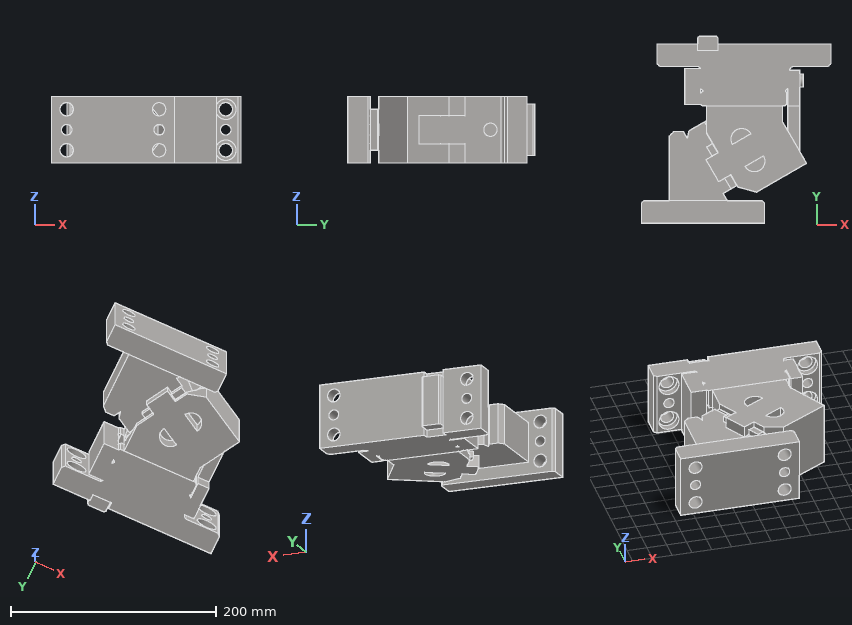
import cadquery as cq
import math


full_height = 65.0
half_height = full_height / 2
plate_thickness = 22.2

hole_inset = 15.0
screw_spacing = 40.0
screw_hole_dia = 13.0
dowel_hole_dia = 10.2

slide_angle = -60.0
heel_x = 92.7
heel_y = 36.5
slide_cos = math.cos(math.radians(slide_angle))
slide_sin = math.sin(math.radians(slide_angle))

ridge_tip_n = 13.1
ridge_tip_half = 4.8
flank_slope = math.tan(math.radians(30))
post_half = 20.2
ear_half = 26.3
ear_under_n = -6.1

driver_length = 120.0
driver_plate_chamfer = 2.4
post_left_x = 27.0
post_top_y = 89.7
post_chamfer = 4.8
vee_left_x = 40.9
vee_tip_x = 44.8
vee_tip_y = 83.0
post_end_u = -69.7
vee_right_n = -13.3
ear_start_u = -47.4
foot_n = -14.8

neck_left_x = 63.3
neck_right_x = 137.8
slider_end_u = 15.2
slider_heel_n = 13.9
slider_back_n = 70.3
cheek_n = 0.4
lower_cheek_n = -1.0
cheek_end_u = 1.5
hook_start_u = -37.0
hook_end_u = -12.2
hook_front_n = -13.0
hook_lip_half = 20.9
relief_center_n = 27.2
relief_radius = 10.4
relief_depth = 18.5

holder_plate_left = 15.0
holder_plate_right = 185.0
holder_plate_top = 175.0
holder_plate_chamfer = 3.0
holder_plate_bottom = holder_plate_top - plate_thickness
holder_bottom = 114.5
counterbore_dia = 20.0
counterbore_depth = 7.0
block_left_x = 42.2
block_top_y = 151.0
block_bottom_y = 115.8
core_left_x = 57.7
core_right_x = 141.9
core_chamfer = 1.8
left_notch_start_x = 55.9
left_notch_radius = 3.0
right_notch_start_x = 144.7
right_notch_end_x = 148.4
right_notch_radius = 4.0
strip_left_x = 142.6
strip_right_x = 154.7
strip_top_y = 149.3
relief_vee_y = 129.1
relief_vee_size = 2.0
tab_half = 13.9
pocket_half = 17.8
pocket_depth = 5.5
pocket_top_y = 152.0
slot_half = 15.0
slot_inner_half = 12.5
slot_step_x = 60.0
slot_end_x = 73.0
slot_depth = 15.7
key_left_x = 54.8
key_width = 20.0
key_depth = 14.0
key_projection = 7.4
key_height = 50.3
key_chamfer = 1.7
bolt_y = 139.1
bolt_radius = 6.5
bolt_head_projection = 3.3


def slide_point(u, n):
    """Turns slide coordinates, measured from the heel, into (x, y)."""
    return heel_x + u * slide_cos - n * slide_sin, heel_y + u * slide_sin + n * slide_cos


def y_on_slide_line(x, n):
    """Y at which the line of constant n passes through x."""
    line_x, line_y = slide_point(0, n)
    return line_y + (x - line_x) * slide_sin / slide_cos


def x_on_slide_line(y, n):
    """X at which the line of constant n passes through y."""
    line_x, line_y = slide_point(0, n)
    return line_x + (y - line_y) * slide_cos / slide_sin


def flank_n(z):
    """n of the V flank at height z."""
    return ridge_tip_n - (z - ridge_tip_half) * flank_slope


def extrude_plan(points, bottom, top):
    """Prism over a closed XY outline between two heights."""
    return cq.Workplane("XY", origin=(0, 0, bottom)).polyline(points).close().extrude(top - bottom)


def slide_block(u_start, u_end, n_start, n_end, bottom, top):
    """Block aligned with the slide direction."""
    corners = [(u_start, n_start), (u_end, n_start), (u_end, n_end), (u_start, n_end)]
    return extrude_plan([slide_point(u, n) for u, n in corners], bottom, top)


def vee_prism(u_start, u_end, half_width, root_n):
    """V ridge of the given half width, with its straight sides going down to root_n."""
    start_x, start_y = slide_point(u_start, 0)
    section = cq.Plane(origin=(start_x, start_y, 0), xDir=(-slide_sin, slide_cos, 0),
                       normal=(slide_cos, slide_sin, 0))
    shoulder_n = flank_n(half_width)
    outline = [
        (root_n, -half_width),
        (shoulder_n, -half_width),
        (ridge_tip_n, -ridge_tip_half),
        (ridge_tip_n, ridge_tip_half),
        (shoulder_n, half_width),
        (root_n, half_width),
    ]
    return cq.Workplane(section).polyline(outline).close().extrude(u_end - u_start)


def box_between(x_range, y_range, half):
    """Box over x and y ranges, centred on Z = 0."""
    (left, right), (front, back) = x_range, y_range
    return extrude_plan([(left, front), (right, front), (right, back), (left, back)], -half, half)


def plate_holes(x_positions, y, depth, screw_dia, dowel_dia=None):
    """Cylinders along +Y from y: two screw holes and an optional dowel hole at each x."""
    drill = cq.Workplane("XZ", origin=(0, y, 0))
    screw_points = [(x, side * screw_spacing / 2) for x in x_positions for side in (-1, 1)]
    holes = drill.pushPoints(screw_points).circle(screw_dia / 2).extrude(-depth)
    if dowel_dia:
        dowel_points = [(x, 0) for x in x_positions]
        holes = holes.union(drill.pushPoints(dowel_points).circle(dowel_dia / 2).extrude(-depth))
    return holes


def make_driver():
    plate = box_between((0, driver_length), (0, plate_thickness), half_height)
    plate = plate.faces(">Y").edges("|Z").chamfer(driver_plate_chamfer)
    hole_x = (hole_inset, driver_length - hole_inset)
    plate = plate.cut(plate_holes(hole_x, 0, plate_thickness, screw_hole_dia, dowel_hole_dia))

    post_outline = [
        (post_left_x, plate_thickness),
        (post_left_x, post_top_y - post_chamfer),
        (post_left_x + post_chamfer, post_top_y),
        (vee_left_x, post_top_y),
        (vee_tip_x, vee_tip_y),
        slide_point(post_end_u, vee_right_n),
        slide_point(post_end_u, 0),
        slide_point(0, 0),
        slide_point(0, foot_n),
        (x_on_slide_line(plate_thickness, foot_n), plate_thickness),
    ]
    post = extrude_plan(post_outline, -post_half, post_half)
    ridge = vee_prism(post_end_u, 0, post_half, ear_under_n)
    ears = vee_prism(ear_start_u, 0, ear_half, ear_under_n)
    return plate.union(post).union(ridge).union(ears)


def make_slider():
    outline = [
        (neck_left_x, holder_bottom),
        (neck_left_x, y_on_slide_line(neck_left_x, cheek_n)),
        slide_point(cheek_end_u, cheek_n),
        slide_point(slider_end_u, slider_heel_n),
        slide_point(slider_end_u, slider_back_n),
        (neck_right_x, y_on_slide_line(neck_right_x, slider_back_n)),
        (neck_right_x, holder_bottom),
    ]
    body = extrude_plan(outline, -half_height, half_height)

    lower_cheek = extrude_plan([
        (neck_left_x, y_on_slide_line(neck_left_x, cheek_n)),
        (neck_left_x, y_on_slide_line(neck_left_x, lower_cheek_n)),
        slide_point(hook_start_u, lower_cheek_n),
        slide_point(hook_start_u, cheek_n),
    ], -half_height, -ear_half)
    body = body.union(lower_cheek)

    body = body.cut(vee_prism(2 * post_end_u, 2 * slider_end_u, ear_half, ear_under_n))

    hook_bar = slide_block(hook_start_u, hook_end_u, hook_front_n, cheek_n, ear_half, half_height)
    hook_lip = slide_block(hook_start_u, hook_end_u, hook_front_n, ear_under_n, hook_lip_half, ear_half)
    hook = hook_bar.union(hook_lip)
    body = body.union(hook).union(hook.mirror("XY"))

    relief_floor = half_height - relief_depth
    centers = [slide_point(u, relief_center_n) for u in (hook_start_u, hook_end_u)]
    reliefs = cq.Workplane("XY", origin=(0, 0, relief_floor)).pushPoints(centers)
    reliefs = reliefs.circle(relief_radius).extrude(relief_depth)
    land = slide_block(hook_start_u, hook_end_u, relief_center_n - relief_radius,
                       relief_center_n + relief_radius, relief_floor, half_height)
    reliefs = reliefs.cut(land)
    return body.cut(reliefs).cut(reliefs.mirror("XY"))


def make_holder():
    plate_x = (holder_plate_left, holder_plate_right)
    plate = box_between(plate_x, (holder_plate_bottom, holder_plate_top), half_height)
    plate = plate.faces("<Y").edges("|Z").chamfer(holder_plate_chamfer)

    root_depth = plate_thickness / 4
    guide_outline = (
        cq.Workplane("XY", origin=(0, 0, -half_height))
        .moveTo(left_notch_start_x, holder_plate_bottom + root_depth)
        .lineTo(left_notch_start_x, holder_plate_bottom)
        .radiusArc((core_left_x, block_top_y), -left_notch_radius)
        .lineTo(block_left_x, block_top_y)
        .lineTo(block_left_x, block_bottom_y)
        .lineTo(core_left_x, block_bottom_y)
        .lineTo(core_left_x + core_chamfer, holder_bottom)
        .lineTo(core_right_x - core_chamfer, holder_bottom)
        .lineTo(core_right_x, holder_bottom + core_chamfer)
        .lineTo(core_right_x, relief_vee_y - relief_vee_size)
        .lineTo(strip_left_x - relief_vee_size, relief_vee_y)
        .lineTo(strip_left_x, relief_vee_y + relief_vee_size)
        .lineTo(strip_left_x, holder_bottom)
        .lineTo(strip_right_x, holder_bottom)
        .lineTo(strip_right_x, strip_top_y)
        .lineTo(right_notch_start_x, strip_top_y)
        .radiusArc((right_notch_end_x, holder_plate_bottom), right_notch_radius)
        .lineTo(right_notch_end_x, holder_plate_bottom + root_depth)
        .close()
    )
    body = plate.union(guide_outline.extrude(full_height))
    left_vee = [
        (core_left_x, relief_vee_y - relief_vee_size),
        (core_left_x + relief_vee_size, relief_vee_y),
        (core_left_x, relief_vee_y + relief_vee_size),
    ]
    body = body.cut(extrude_plan(left_vee, -half_height, half_height))

    hole_x = (holder_plate_left + hole_inset, holder_plate_right - hole_inset)
    body = body.cut(
        plate_holes(hole_x, holder_plate_bottom, plate_thickness, screw_hole_dia, dowel_hole_dia))
    body = body.cut(plate_holes(hole_x, holder_plate_bottom, counterbore_depth, counterbore_dia))

    body = body.cut(box_between((left_notch_start_x, core_left_x + pocket_depth),
                                (block_top_y, pocket_top_y), pocket_half))

    slot_y = (holder_bottom, holder_bottom + slot_depth)
    body = body.cut(box_between((core_left_x, slot_step_x), slot_y, slot_half))
    body = body.cut(box_between((core_left_x, slot_end_x), slot_y, slot_inner_half))

    tab = extrude_plan([
        (strip_left_x, holder_bottom),
        (strip_left_x, y_on_slide_line(strip_left_x, slider_back_n)),
        (strip_right_x, y_on_slide_line(strip_right_x, slider_back_n)),
        (strip_right_x, holder_bottom),
    ], -tab_half, tab_half)
    body = body.union(tab)

    key_x = (key_left_x, key_left_x + key_width)
    key_back = holder_plate_top + key_projection
    key_front = key_back - key_depth
    body = body.cut(box_between(key_x, (key_front, holder_plate_top), half_height))
    key = box_between(key_x, (key_front, key_back), key_height / 2)
    key = key.faces(">Y").edges("|Z").chamfer(key_chamfer)
    body = body.union(key)

    bolt_head = cq.Workplane("YZ", origin=(strip_right_x, bolt_y, 0)).circle(bolt_radius)
    return body.union(bolt_head.extrude(bolt_head_projection))


driver = make_driver()
slider = make_slider()
holder = make_holder()

result = cq.Compound.makeCompound([driver.val(), slider.val(), holder.val()])